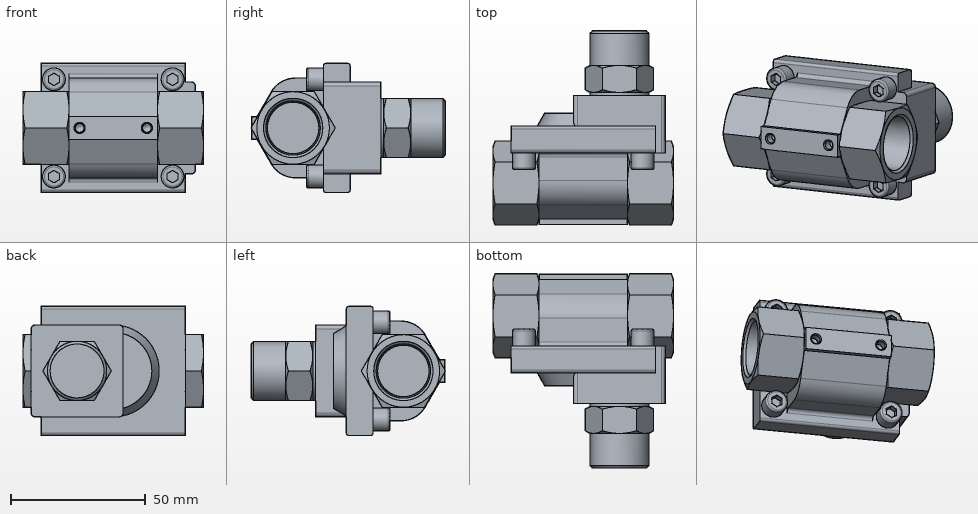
import cadquery as cq
import math

OVERALL_LENGTH = 67.0
OVERALL_DEPTH = 72.1

PIPE_HEX_FLATS = 27.0
PIPE_HEX_CORNER_RADIUS = PIPE_HEX_FLATS / math.sqrt(3)
PIPE_HEX_LENGTH = 17.1
PIPE_HEX_FACE_DIAMETER = 26.9
PIPE_HEX_CHAMFER_LENGTH = 0.8
BORE_MOUTH_DIAMETER = 22.0
BORE_START_DIAMETER = 20.2
BORE_TAPER = 1 / 16
BORE_TAPER_LENGTH = 18

BODY_LENGTH = OVERALL_LENGTH - 2 * PIPE_HEX_LENGTH
BODY_HALF_HEIGHT = 18.5
BODY_ROUND_RADIUS = 10.4
BODY_ROUND_Y = 0.9
BODY_ROOT_FILLET = 1.5
SLOPE_ANGLE = math.radians(60)
RIB_HEIGHT = 8.4
RIB_FRONT_Y = -15.4

RIB_HOLE_SPACING = 24.95
RIB_HOLE_DIAMETER = 3.25
RIB_HOLE_MOUTH_DIAMETER = 4.1
RIB_HOLE_DEPTH = 4.0
DRILL_HALF_ANGLE = math.radians(59)

PLATE_LENGTH = 53.55
PLATE_HEIGHT = 48.0
PLATE_THICKNESS = 10.0
PLATE_FRONT_Y = 11.2
PLATE_BACK_Y = PLATE_FRONT_Y + PLATE_THICKNESS
PLATE_FILLET = 1.1

SCREW_SPACING_X = 44
SCREW_SPACING_Z = 36.05
SCREW_HEAD_DIAMETER = 8.4
SCREW_HEAD_LENGTH = 6.2
SCREW_HEAD_FILLET = 0.65
SOCKET_FLATS = 4.0
SOCKET_DEPTH = 2.9

CONE_BASE_DIAMETER = 34.1
CONE_HEIGHT = 4.75
CONE_HALF_ANGLE = math.radians(30)

BLOCK_X = 13.4
BLOCK_SIDE = 34.1
BLOCK_BACK_Y = 32.5
BLOCK_FILLET = 1.5
SPIGOT_DIAMETER = 22.0
SPIGOT_CHAMFER = 1.0
SPIGOT_END_Y = OVERALL_DEPTH - PIPE_HEX_CORNER_RADIUS
NUT_FLATS = 22.0
NUT_START_Y = 33.6
NUT_LENGTH = 10.0
NUT_CHAMFER_LENGTH = 1.0


def hexagon_bar(flats, length, face_diameter, chamfer_length):
    """Hexagonal bar along +Z, corners on the local X axis, conical chamfer on both ends."""
    corner_radius = flats / math.sqrt(3)
    face_radius = face_diameter / 2
    bar = cq.Workplane("XY").polygon(6, 2 * corner_radius).extrude(length)
    envelope = (
        cq.Workplane("XZ")
        .polyline([
            (0, 0),
            (face_radius, 0),
            (corner_radius, chamfer_length),
            (corner_radius, length - chamfer_length),
            (face_radius, length),
            (0, length),
        ])
        .close()
        .revolve(360, (0, 0, 0), (0, 1, 0))
    )
    return bar.intersect(envelope)


def along_x(solid):
    """Turn a solid built along +Z so that it runs along +X."""
    return solid.rotate((0, 0, 0), (0, 1, 0), 90)


def along_y(solid):
    """Turn a solid built along +Z so that it runs along +Y."""
    return solid.rotate((0, 0, 0), (1, 0, 0), -90)


def pipe_hexagon():
    """Hexagonal end on the -X side, with two corners on the Y axis."""
    bar = hexagon_bar(
        PIPE_HEX_FLATS, PIPE_HEX_LENGTH, PIPE_HEX_FACE_DIAMETER, PIPE_HEX_CHAMFER_LENGTH
    )
    bar = along_x(bar.rotate((0, 0, 0), (0, 0, 1), 90))
    return bar.translate((-OVERALL_LENGTH / 2, 0, 0))


def pipe_bore():
    """Blind tapered thread bore with a 45 degree mouth, entering from the -X end."""
    mouth_radius = BORE_MOUTH_DIAMETER / 2
    start_radius = BORE_START_DIAMETER / 2
    mouth_depth = mouth_radius - start_radius
    end_radius = start_radius - BORE_TAPER * BORE_TAPER_LENGTH / 2
    floor = mouth_depth + BORE_TAPER_LENGTH
    return (
        cq.Workplane("XY")
        .polyline([
            (0, 0),
            (0, mouth_radius),
            (mouth_depth, start_radius),
            (floor, end_radius),
            (floor, 0),
        ])
        .close()
        .revolve(360, (0, 0, 0), (1, 0, 0))
        .translate((-OVERALL_LENGTH / 2, 0, 0))
    )


def body():
    """Middle body: flat sides, round corners, and slopes that run down to the front rib."""
    round_z = BODY_HALF_HEIGHT - BODY_ROUND_RADIUS

    def round_point(angle):
        y = BODY_ROUND_Y - BODY_ROUND_RADIUS * math.sin(angle)
        z = round_z + BODY_ROUND_RADIUS * math.cos(angle)
        return y, z

    slope_y, slope_z = round_point(SLOPE_ANGLE)
    rib_z = RIB_HEIGHT / 2
    rib_back_y = slope_y - (slope_z - rib_z) / math.tan(SLOPE_ANGLE)
    fillet_y = PLATE_FRONT_Y - BODY_ROOT_FILLET
    fillet_z = BODY_HALF_HEIGHT + BODY_ROOT_FILLET
    fillet_mid = (
        fillet_y + BODY_ROOT_FILLET * math.sin(math.pi / 4),
        fillet_z - BODY_ROOT_FILLET * math.cos(math.pi / 4),
    )
    upper_half = (
        cq.Workplane("YZ")
        .moveTo(PLATE_FRONT_Y, 0)
        .lineTo(PLATE_FRONT_Y, fillet_z)
        .threePointArc(fillet_mid, (fillet_y, BODY_HALF_HEIGHT))
        .lineTo(BODY_ROUND_Y, BODY_HALF_HEIGHT)
        .threePointArc(round_point(SLOPE_ANGLE / 2), (slope_y, slope_z))
        .lineTo(rib_back_y, rib_z)
        .lineTo(RIB_FRONT_Y, rib_z)
        .lineTo(RIB_FRONT_Y, 0)
        .close()
        .extrude(BODY_LENGTH / 2, both=True)
    )
    return upper_half.union(upper_half.mirror("XY"))


def rib_hole(x):
    """Countersunk blind hole with a drill point, entering the rib from the front."""
    radius = RIB_HOLE_DIAMETER / 2
    mouth_radius = RIB_HOLE_MOUTH_DIAMETER / 2
    tip_depth = RIB_HOLE_DEPTH + radius / math.tan(DRILL_HALF_ANGLE)
    return (
        cq.Workplane("XY")
        .polyline([
            (0, 0),
            (mouth_radius, 0),
            (radius, mouth_radius - radius),
            (radius, RIB_HOLE_DEPTH),
            (0, tip_depth),
        ])
        .close()
        .revolve(360, (0, 0, 0), (0, 1, 0))
        .translate((x, RIB_FRONT_Y, 0))
    )


def plate():
    """Flange plate with its long edges rounded."""
    return (
        cq.Workplane("XY")
        .box(PLATE_LENGTH, PLATE_THICKNESS, PLATE_HEIGHT)
        .edges("|X")
        .fillet(PLATE_FILLET)
        .translate((0, (PLATE_FRONT_Y + PLATE_BACK_Y) / 2, 0))
    )


def screw_head(x, z):
    """Screw head on the plate front with a hexagon socket, two socket corners pointing up and down."""
    head = (
        cq.Workplane("XY")
        .circle(SCREW_HEAD_DIAMETER / 2)
        .extrude(SCREW_HEAD_LENGTH)
        .faces("<Z")
        .edges()
        .fillet(SCREW_HEAD_FILLET)
    )
    socket = (
        cq.Workplane("XY")
        .polygon(6, 2 * SOCKET_FLATS / math.sqrt(3))
        .extrude(SOCKET_DEPTH)
        .rotate((0, 0, 0), (0, 0, 1), 90)
    )
    return along_y(head.cut(socket)).translate((x, PLATE_FRONT_Y - SCREW_HEAD_LENGTH, z))


def cone():
    """Conical boss on the plate back, centred on the Y axis."""
    base_radius = CONE_BASE_DIAMETER / 2
    top_radius = base_radius - CONE_HEIGHT * math.tan(CONE_HALF_ANGLE)
    frustum = cq.Solid.makeCone(
        base_radius, top_radius, CONE_HEIGHT, cq.Vector(0, PLATE_BACK_Y, 0), cq.Vector(0, 1, 0)
    )
    return cq.Workplane(frustum)


def block():
    """Square block that passes through the plate, rounded along its Y edges."""
    depth = BLOCK_BACK_Y - PLATE_FRONT_Y
    return (
        cq.Workplane("XY")
        .box(BLOCK_SIDE, depth, BLOCK_SIDE)
        .edges("|Y")
        .fillet(BLOCK_FILLET)
        .translate((BLOCK_X, PLATE_FRONT_Y + depth / 2, 0))
    )


def side_fitting():
    """Chamfered spigot with a hexagon nut on it, two nut corners pointing along X."""
    spigot = (
        cq.Workplane("XY")
        .circle(SPIGOT_DIAMETER / 2)
        .extrude(SPIGOT_END_Y - BLOCK_BACK_Y)
        .faces(">Z")
        .chamfer(SPIGOT_CHAMFER)
    )
    nut = hexagon_bar(NUT_FLATS, NUT_LENGTH, NUT_FLATS, NUT_CHAMFER_LENGTH)
    nut = nut.translate((0, 0, NUT_START_Y - BLOCK_BACK_Y))
    return along_y(spigot.union(nut)).translate((BLOCK_X, BLOCK_BACK_Y, 0))


result = body().union(plate()).union(block()).union(cone()).union(side_fitting())

left_hexagon = pipe_hexagon()
result = result.union(left_hexagon).union(left_hexagon.mirror("YZ"))
left_bore = pipe_bore()
result = result.cut(left_bore).cut(left_bore.mirror("YZ"))

for x_sign in (-1, 1):
    result = result.cut(rib_hole(x_sign * RIB_HOLE_SPACING / 2))
    for z_sign in (-1, 1):
        result = result.union(screw_head(x_sign * SCREW_SPACING_X / 2, z_sign * SCREW_SPACING_Z / 2))